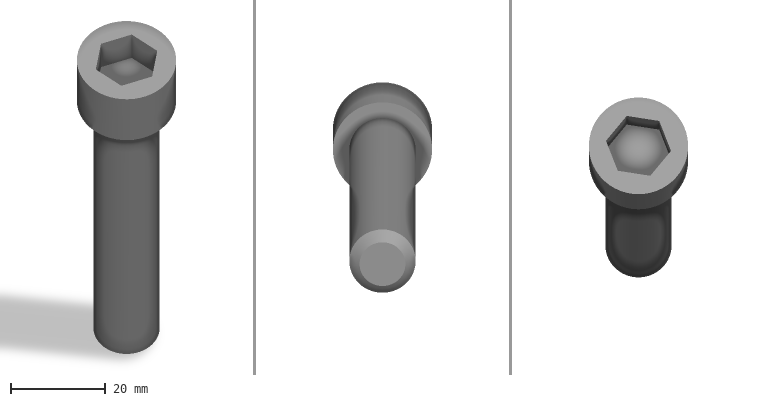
import cadquery as cq
import math

total_length = 94.0
shank_diameter = 14.0
head_height = shank_diameter
head_diameter = 21.0
tip_chamfer = 2.2
socket_across_flats = 12.0
socket_depth = 8.0

shank_length = total_length - head_height
socket_across_corners = socket_across_flats / math.cos(math.pi / 6)

shank = (
    cq.Workplane("XY")
    .circle(shank_diameter / 2)
    .extrude(shank_length)
    .faces("<Z")
    .chamfer(tip_chamfer)
)

head = (
    cq.Workplane("XY")
    .workplane(offset=shank_length)
    .circle(head_diameter / 2)
    .extrude(head_height)
)

socket = (
    cq.Workplane("XY")
    .workplane(offset=total_length)
    .polygon(6, socket_across_corners)
    .extrude(-socket_depth)
)

result = shank.union(head).cut(socket)